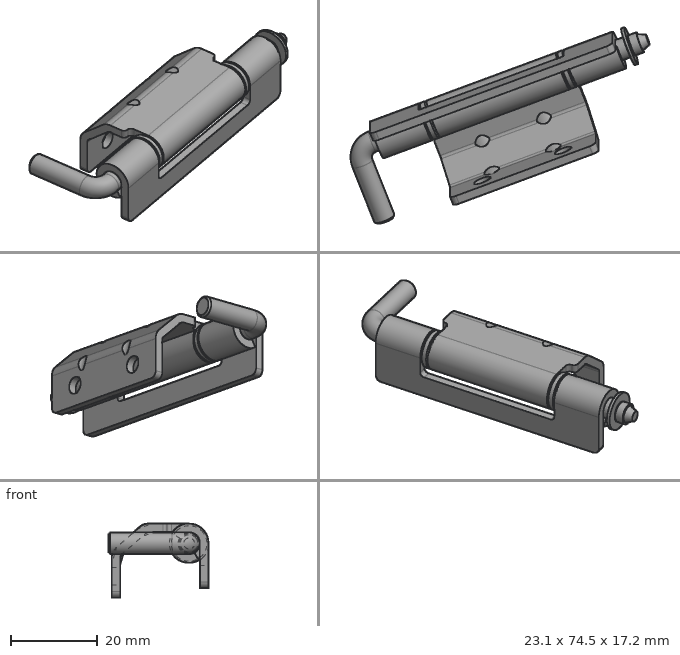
import cadquery as cq
import math


OVERALL_LENGTH = 74.5
PIN_RADIUS = 5.0 / 2
TIP_Y = 36.95
NOSE_LENGTH = 1.85
NOSE_BASE_RADIUS = 2.0
NOSE_END_RADIUS = 1.3
ARM_Y = TIP_Y - OVERALL_LENGTH + PIN_RADIUS
ARM_END_X = -18.55
ELBOW_RADIUS = 3.95
ARM_CHAMFER = 0.45

THICKNESS = 2.0
BORE_RADIUS = 5.1 / 2
KNUCKLE_RADIUS = BORE_RADIUS + THICKNESS
CURL_ANGLE = 300
NOTCH_CLEARANCE = 0.5
CORNER_RADIUS = 1.5
CUT_MARGIN = 1.5

RING_THICKNESS = 0.75
RING_Y = 32.1
RING_GROOVE_CLEARANCE = 0.15
RING_GROOVE_DEPTH = 0.2

SPACER_THICKNESS = 2.0
SPACER_CHAMFER = 0.45
NOTCH_RADIUS = SPACER_THICKNESS / 2

BENT_LENGTH = 36.0
BENT_BOTTOM_Z = -12.6
BENT_FACE_X = -17.8
TOP_BEND_X = -9.3
SLOPE_ANGLE = math.radians(41)
BEND_RADIUS = 3.1
HOLE_DIAMETER = 4.0
HOLE_PITCH = 20.0
HOLE_EDGE_DISTANCE = 5.0
BEAD_PITCH = 15.2
BEAD_GROOVE_RADIUS = 1.8
RIDGE_REACH = 3.0
UPPER_BEAD_REACH = (0.75, 0.5)
LOWER_BEAD_REACH = (0.0, 1.35)

STRAIGHT_LENGTH = 59.9
STRAIGHT_BOTTOM_Z = -10.35

KNUCKLE_HALF = BENT_LENGTH / 2 - SPACER_THICKNESS


def polar(radius, degrees):
    angle = math.radians(degrees)
    return (radius * math.cos(angle), radius * math.sin(angle))


def along(point, direction, distance):
    """Point at a distance from an XZ point, in multiples of the direction vector."""
    return (point[0] + direction[0] * distance, point[1] + direction[1] * distance)


def extrude_along_y(profile, length):
    """Extrude a closed XZ profile symmetrically about Y = 0."""
    return profile.extrude(length / 2, both=True)


def box_between(x_range, y_range, z_range):
    size = [high - low for low, high in (x_range, y_range, z_range)]
    corner = (x_range[0], y_range[0], z_range[0])
    return cq.Workplane("XY").box(*size, centered=False).translate(corner)


def revolve_about_pin(profile):
    """Revolve a closed XY profile a full turn about the Y axis."""
    return profile.revolve(360, (0, 0, 0), (0, 1, 0))


def curl(start, sweep):
    """Rolled knuckle profile from the start angle through the signed sweep, in degrees."""
    middle = start + sweep / 2
    end = start + sweep
    return (
        cq.Workplane("XZ")
        .moveTo(*polar(KNUCKLE_RADIUS, start))
        .threePointArc(polar(KNUCKLE_RADIUS, middle), polar(KNUCKLE_RADIUS, end))
        .lineTo(*polar(BORE_RADIUS, end))
        .threePointArc(polar(BORE_RADIUS, middle), polar(BORE_RADIUS, start))
        .close()
    )


def make_pin():
    shoulder_y = TIP_Y - NOSE_LENGTH
    elbow_y = ARM_Y + ELBOW_RADIUS
    groove_start_y = RING_Y - RING_GROOVE_CLEARANCE
    groove_end_y = RING_Y + RING_THICKNESS + RING_GROOVE_CLEARANCE
    groove_radius = PIN_RADIUS - RING_GROOVE_DEPTH
    shaft = revolve_about_pin(
        cq.Workplane("XY").polyline([
            (0, elbow_y),
            (PIN_RADIUS, elbow_y),
            (PIN_RADIUS, groove_start_y),
            (groove_radius, groove_start_y),
            (groove_radius, groove_end_y),
            (PIN_RADIUS, groove_end_y),
            (PIN_RADIUS, shoulder_y),
            (NOSE_BASE_RADIUS, shoulder_y),
            (NOSE_END_RADIUS, TIP_Y),
            (0, TIP_Y),
        ]).close()
    )
    elbow = (
        cq.Workplane("XZ", origin=(0, elbow_y, 0))
        .circle(PIN_RADIUS)
        .revolve(90, (-ELBOW_RADIUS, 0.75, 0), (-ELBOW_RADIUS, 0, 0))
    )
    arm = (
        cq.Workplane("YZ", origin=(ARM_END_X, ARM_Y, 0))
        .circle(PIN_RADIUS)
        .extrude(-ELBOW_RADIUS - ARM_END_X)
        .faces("<X")
        .chamfer(ARM_CHAMFER)
    )
    return shaft.union(elbow).union(arm)


def make_retaining_ring():
    return (
        cq.Workplane("XZ", origin=(0, RING_Y, 0))
        .circle(KNUCKLE_RADIUS)
        .circle(PIN_RADIUS - RING_GROOVE_DEPTH)
        .extrude(-RING_THICKNESS)
    )


def make_spacer(side):
    """Chamfered washer beside the middle knuckle; side is +1 or -1 along Y."""
    return (
        cq.Workplane("XZ", origin=(0, side * KNUCKLE_HALF, 0))
        .circle(KNUCKLE_RADIUS)
        .extrude(-side * SPACER_THICKNESS)
        .edges()
        .chamfer(SPACER_CHAMFER)
        .cut(cq.Workplane("XZ").circle(BORE_RADIUS).extrude(BENT_LENGTH, both=True))
    )


TOP_NORMAL = 90
SLOPE_NORMAL = TOP_NORMAL + math.degrees(SLOPE_ANGLE)
FLANGE_NORMAL = 180

SLOPE_LENGTH = (TOP_BEND_X - BENT_FACE_X - BEND_RADIUS) / math.cos(SLOPE_ANGLE)
SLOPE_DIRECTION = (-math.cos(SLOPE_ANGLE), -math.sin(SLOPE_ANGLE))
TOP_DIRECTION = (-1, 0)
FLANGE_DIRECTION = (0, -1)
UPPER_CENTRE = (TOP_BEND_X, KNUCKLE_RADIUS - BEND_RADIUS)
LOWER_CENTRE = along(UPPER_CENTRE, SLOPE_DIRECTION, SLOPE_LENGTH)


def bend_point(centre, radius, normal):
    return along(centre, polar(1, normal), radius)


def bent_sheet():
    inner_radius = BEND_RADIUS - THICKNESS
    upper_middle = (TOP_NORMAL + SLOPE_NORMAL) / 2
    lower_middle = (SLOPE_NORMAL + FLANGE_NORMAL) / 2
    profile = (
        cq.Workplane("XZ")
        .moveTo(0, KNUCKLE_RADIUS)
        .lineTo(*bend_point(UPPER_CENTRE, BEND_RADIUS, TOP_NORMAL))
        .threePointArc(
            bend_point(UPPER_CENTRE, BEND_RADIUS, upper_middle),
            bend_point(UPPER_CENTRE, BEND_RADIUS, SLOPE_NORMAL),
        )
        .lineTo(*bend_point(LOWER_CENTRE, BEND_RADIUS, SLOPE_NORMAL))
        .threePointArc(
            bend_point(LOWER_CENTRE, BEND_RADIUS, lower_middle),
            bend_point(LOWER_CENTRE, BEND_RADIUS, FLANGE_NORMAL),
        )
        .lineTo(BENT_FACE_X, BENT_BOTTOM_Z)
        .lineTo(BENT_FACE_X + THICKNESS, BENT_BOTTOM_Z)
        .lineTo(*bend_point(LOWER_CENTRE, inner_radius, FLANGE_NORMAL))
        .threePointArc(
            bend_point(LOWER_CENTRE, inner_radius, lower_middle),
            bend_point(LOWER_CENTRE, inner_radius, SLOPE_NORMAL),
        )
        .lineTo(*bend_point(UPPER_CENTRE, inner_radius, SLOPE_NORMAL))
        .threePointArc(
            bend_point(UPPER_CENTRE, inner_radius, upper_middle),
            bend_point(UPPER_CENTRE, inner_radius, TOP_NORMAL),
        )
        .lineTo(0, BORE_RADIUS)
        .close()
    )
    return extrude_along_y(profile, BENT_LENGTH)


def end_notch(side):
    """Cutter that clears one end of the rolled edge, with rounded corners."""
    wall_x = -KNUCKLE_RADIUS - NOTCH_CLEARANCE
    far_x = KNUCKLE_RADIUS + CUT_MARGIN
    inner_y = side * KNUCKLE_HALF
    outer_y = side * BENT_LENGTH / 2
    middle_y = (inner_y + outer_y) / 2
    diagonal = NOTCH_RADIUS * math.sqrt(0.5)
    inner_centre = (wall_x + NOTCH_RADIUS, middle_y)
    outer_centre = (wall_x - NOTCH_RADIUS, middle_y)
    return (
        cq.Workplane("XY")
        .moveTo(far_x, inner_y)
        .lineTo(wall_x + NOTCH_RADIUS, inner_y)
        .threePointArc(
            (inner_centre[0] - diagonal, inner_centre[1] - side * diagonal),
            (wall_x, middle_y),
        )
        .threePointArc(
            (outer_centre[0] + diagonal, outer_centre[1] + side * diagonal),
            (wall_x - NOTCH_RADIUS, outer_y),
        )
        .lineTo(far_x, outer_y)
        .close()
        .extrude(KNUCKLE_RADIUS + CUT_MARGIN, both=True)
    )


def bead_cylinder(start, end, extra_radius, y):
    """Cylinder on a bead's axis; without extra radius its deepest line runs through start and end."""
    chord = (end[0] - start[0], end[1] - start[1])
    length = math.hypot(*chord)
    outward = (chord[1] / length, -chord[0] / length)
    base = along(along(start, outward, BEAD_GROOVE_RADIUS), chord, -1)
    plane = cq.Plane(origin=(base[0], y, base[1]), xDir=(0, 1, 0), normal=(chord[0], 0, chord[1]))
    return cq.Workplane(plane).circle(BEAD_GROOVE_RADIUS + extra_radius).extrude(3 * length)


def add_beads(leaf, centre, normals, directions, reaches):
    """Press stiffening beads across one bend: grooves outside, matching ridges inside."""
    half_bend = math.radians(normals[1] - normals[0]) / 2
    start = along(bend_point(centre, BEND_RADIUS, normals[0]), directions[0], -reaches[0])
    end = along(bend_point(centre, BEND_RADIUS, normals[1]), directions[1], reaches[1])
    inner_radius = BEND_RADIUS - THICKNESS
    inner_start = bend_point(centre, inner_radius, normals[0])
    inner_end = bend_point(centre, inner_radius, normals[1])
    inner_corner = along(inner_start, directions[0], inner_radius * math.tan(half_bend))
    ridge_zone = extrude_along_y(
        cq.Workplane("XZ").polyline([
            along(inner_start, directions[0], -RIDGE_REACH),
            inner_corner,
            along(inner_end, directions[1], RIDGE_REACH),
        ]).close(),
        BENT_LENGTH,
    )
    for side in (-1, 1):
        y = side * BEAD_PITCH / 2
        ridge = bead_cylinder(start, end, THICKNESS, y).intersect(ridge_zone)
        leaf = leaf.union(ridge).cut(bead_cylinder(start, end, 0, y))
    return leaf


def make_bent_leaf():
    leaf = bent_sheet().faces("<Z").edges("|X").fillet(CORNER_RADIUS)
    leaf = leaf.union(extrude_along_y(curl(TOP_NORMAL, -CURL_ANGLE), BENT_LENGTH))
    for side in (-1, 1):
        leaf = leaf.cut(end_notch(side))
    holes = (
        cq.Workplane("YZ", origin=(BENT_FACE_X, 0, BENT_BOTTOM_Z + HOLE_EDGE_DISTANCE))
        .pushPoints([(-HOLE_PITCH / 2, 0), (HOLE_PITCH / 2, 0)])
        .circle(HOLE_DIAMETER / 2)
        .extrude(THICKNESS)
    )
    leaf = leaf.cut(holes)
    leaf = add_beads(
        leaf,
        UPPER_CENTRE,
        (TOP_NORMAL, SLOPE_NORMAL),
        (TOP_DIRECTION, SLOPE_DIRECTION),
        UPPER_BEAD_REACH,
    )
    return add_beads(
        leaf,
        LOWER_CENTRE,
        (SLOPE_NORMAL, FLANGE_NORMAL),
        (SLOPE_DIRECTION, FLANGE_DIRECTION),
        LOWER_BEAD_REACH,
    )


def make_straight_leaf():
    half_length = STRAIGHT_LENGTH / 2
    plate = box_between(
        (BORE_RADIUS, KNUCKLE_RADIUS), (-half_length, half_length), (STRAIGHT_BOTTOM_Z, 0)
    ).faces("<Z").edges("|X").fillet(CORNER_RADIUS)
    knuckles = extrude_along_y(curl(0, CURL_ANGLE), STRAIGHT_LENGTH)
    reach = KNUCKLE_RADIUS + CUT_MARGIN
    middle_notch = box_between(
        (-reach, reach),
        (-BENT_LENGTH / 2, BENT_LENGTH / 2),
        (-KNUCKLE_RADIUS - NOTCH_CLEARANCE, reach),
    ).faces("<Z").edges("|X").fillet(NOTCH_RADIUS)
    return plate.union(knuckles).cut(middle_notch)


pin = make_pin()
retaining_ring = make_retaining_ring()
spacers = [make_spacer(side) for side in (-1, 1)]
bent_leaf = make_bent_leaf()
straight_leaf = make_straight_leaf()

result = cq.Compound.makeCompound([
    pin.val(),
    retaining_ring.val(),
    *[spacer.val() for spacer in spacers],
    bent_leaf.val(),
    straight_leaf.val(),
])